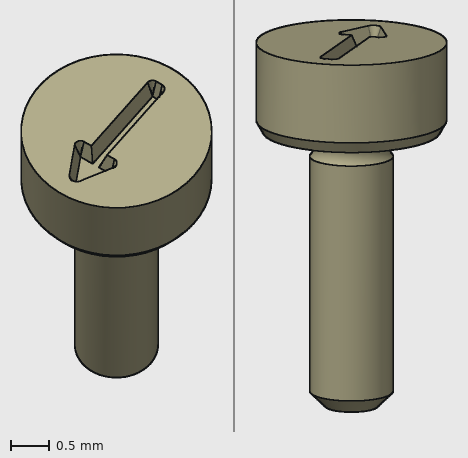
import cadquery as cq
import math

total_length = 4.9

head_radius = 1.25
head_height = 1.2
head_chamfer_height = 0.15
head_chamfer_angle = 30.0

shank_radius = 0.55
tip_chamfer = 0.2

neck_radius = 0.5
undercut_radius = 0.2

arrow_depth = 0.25
arrow_wall_spread = 0.08
stem_half_width = 0.05
stem_end_y = 0.88
barb_y = -0.465
barb_half_width = 0.245
arrow_tip_y = -0.91
arrow_tip_radius = 0.02


def make_body():
    """Revolve the head, undercut and shank about Z."""
    head_bottom = total_length - head_height
    chamfer_inset = head_chamfer_height * math.tan(math.radians(head_chamfer_angle))

    arc_center_r = neck_radius + undercut_radius
    arc_center_z = head_bottom - undercut_radius
    runout_z = arc_center_z - math.sqrt(undercut_radius**2 - (arc_center_r - shank_radius) ** 2)

    profile = (
        cq.Workplane("XZ")
        .lineTo(shank_radius - tip_chamfer, 0)
        .lineTo(shank_radius, tip_chamfer)
        .lineTo(shank_radius, runout_z)
        .threePointArc((neck_radius, arc_center_z), (arc_center_r, head_bottom))
        .lineTo(head_radius - chamfer_inset, head_bottom)
        .lineTo(head_radius, head_bottom + head_chamfer_height)
        .lineTo(head_radius, total_length)
        .lineTo(0, total_length)
        .close()
    )
    return profile.revolve(360, (0, 0), (0, 1))


def make_arrow_cutter():
    """Arrow pointing to -Y, widening from its floor up to the top face."""
    wall_angle = math.degrees(math.atan2(arrow_wall_spread, arrow_depth))

    tip_center_y = arrow_tip_y + arrow_tip_radius
    center_to_barb = math.hypot(barb_half_width, barb_y - tip_center_y)
    barb_direction = math.atan2(barb_y - tip_center_y, barb_half_width)
    tangent_direction = barb_direction - math.acos(arrow_tip_radius / center_to_barb)
    tangent_x = arrow_tip_radius * math.cos(tangent_direction)
    tangent_y = tip_center_y + arrow_tip_radius * math.sin(tangent_direction)

    floor_outline = (
        cq.Workplane("XY", origin=(0, 0, total_length - arrow_depth))
        .moveTo(-stem_half_width, stem_end_y)
        .lineTo(-stem_half_width, barb_y)
        .lineTo(-barb_half_width, barb_y)
        .lineTo(-tangent_x, tangent_y)
        .threePointArc((0, arrow_tip_y), (tangent_x, tangent_y))
        .lineTo(barb_half_width, barb_y)
        .lineTo(stem_half_width, barb_y)
        .lineTo(stem_half_width, stem_end_y)
        .close()
    )
    return floor_outline.extrude(arrow_depth, taper=-wall_angle)


result = make_body().cut(make_arrow_cutter())